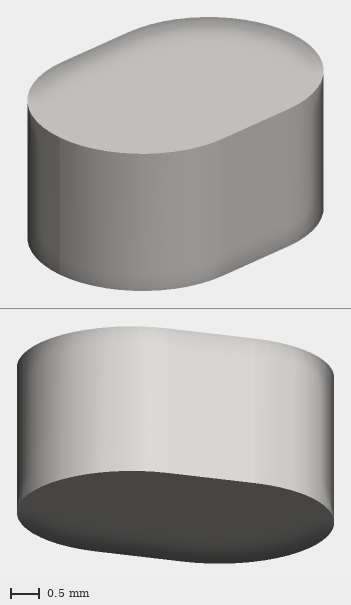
import cadquery as cq

WIDTH = 4.01
LENGTH = 5.61
HEIGHT = 2.7

END_FLAT = 0.005
CORNER_RADIUS = (WIDTH - END_FLAT) / 2


def make_block():
    """Upright block with fully rounded ends, standing on Z = 0."""
    blank = cq.Workplane("XY").box(WIDTH, LENGTH, HEIGHT, centered=(True, True, False))
    return blank.edges("|Z").fillet(CORNER_RADIUS).solids()


block = make_block()

result = cq.Compound.makeCompound([block.val()])